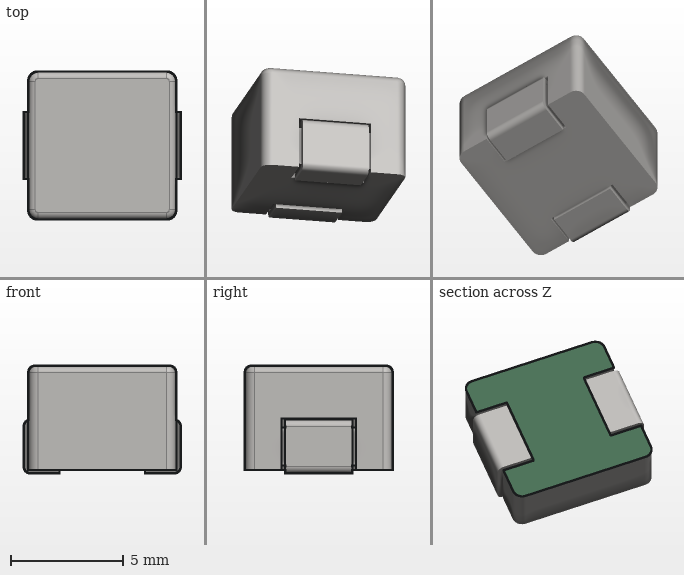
import cadquery as cq


overall_length = 7.0
body_side = 6.6
overall_height = 4.8

corner_radius = 0.44
top_fillet = 0.315

lead_thickness = 0.3
lead_width = 3.0
lead_height = 2.395
lead_length = 1.6
bend_radius = lead_thickness
foot_standoff = 0.15

profile_clearance = 0.05
side_clearance = 0.15

body_height = overall_height - foot_standoff
lead_outer_x = overall_length / 2


def lead_solid():
    """Left lead: an upright strip with a tab above and a foot below, both pointing inwards."""
    block = (
        cq.Workplane("XY")
        .box(lead_length, lead_width, lead_height, centered=(False, True, False))
        .edges("|Y and <X")
        .fillet(bend_radius)
    )
    opening = (
        cq.Workplane("XY")
        .box(
            lead_length - lead_thickness,
            lead_width,
            lead_height - 2 * lead_thickness,
            centered=(False, True, False),
        )
        .translate((lead_thickness, 0, lead_thickness))
    )
    return block.cut(opening).translate((-lead_outer_x, 0, 0))


def recess_solid():
    """Left recess: the square-cornered envelope of the lead, grown by the clearances."""
    width = lead_width + 2 * side_clearance
    length = lead_length + profile_clearance
    height = lead_height + profile_clearance
    leg_thickness = lead_thickness + profile_clearance
    tongue_height = lead_height - 2 * leg_thickness

    envelope = cq.Workplane("XY").box(length, width, height, centered=(False, True, False))
    tongue = (
        cq.Workplane("XY")
        .box(length - leg_thickness, width, tongue_height, centered=(False, True, False))
        .translate((leg_thickness, 0, leg_thickness))
    )
    return envelope.cut(tongue).translate((-lead_outer_x, 0, 0))


def both_ends(left):
    """Return the left-hand shape and its copy turned half a turn about Z."""
    return [left.rotate((0, 0, 0), (0, 0, 1), angle) for angle in (0, 180)]


def body_solid():
    """Square block with rounded upright edges, a rounded top rim and a recess at each end."""
    body = (
        cq.Workplane("XY")
        .box(body_side, body_side, body_height, centered=(True, True, False))
        .translate((0, 0, foot_standoff))
        .edges("|Z")
        .fillet(corner_radius)
        .faces(">Z")
        .edges()
        .fillet(top_fillet)
    )
    for recess in both_ends(recess_solid()):
        body = body.cut(recess)
    return body


body = body_solid()
leads = both_ends(lead_solid())

result = cq.Compound.makeCompound([body.val(), *[lead.val() for lead in leads]])